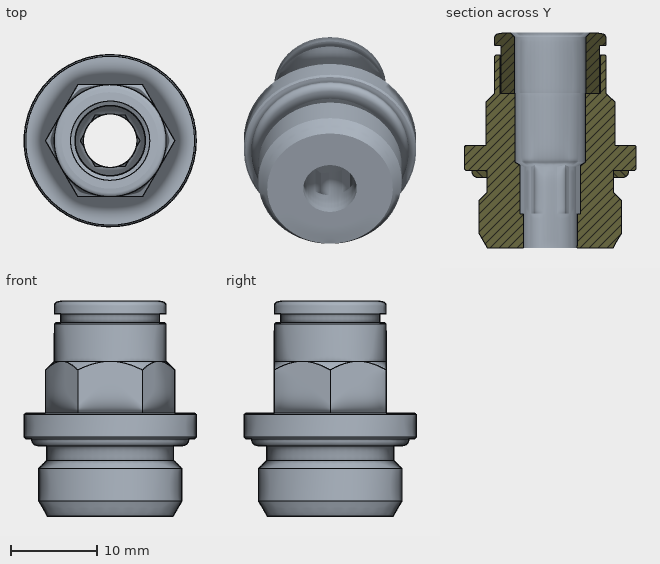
import cadquery as cq
import math


thread_radius = 16.66 / 2
neck_radius = 14.75 / 2
neck_chamfer = thread_radius - neck_radius
thread_end_height = 1.8
thread_end_angle = 30.0
thread_end_radius = thread_radius - thread_end_height * math.tan(math.radians(thread_end_angle))
neck_bottom = 6.5
flange_radius = 10.0
flange_bottom = 9.0
flange_top = 12.0
flange_chamfer = 0.2
hex_across_flats = 13.0
hex_top = 18.0
barrel_radius = hex_across_flats / 2
barrel_top = 22.5
barrel_chamfer = 0.2

through_radius = 6.2 / 2
socket_across_flats = 6.0
socket_bottom = 4.0
tube_radius = 8.1 / 2
tube_stop = 10.0
tube_stop_slope = 30.0
stem_bore_radius = 11.6 / 2
stem_seat = 18.0

seal_radius = 9.13
seal_height = 0.8
seal_rounding = 0.75

stem_radius = 11.5 / 2
sleeve_bore_radius = 8.2 / 2
sleeve_bore_chamfer = 0.5
head_radius = barrel_radius
head_bottom = 23.5
head_top = 25.0
head_flat_radius = 5.6
head_slope = 10.0
head_rounding = 0.5


def revolve_about_z(profile):
    """Turn a closed profile of (radius, height) points around the Z axis."""
    return profile.close().revolve(360, (0, 0, 0), (0, 1, 0))


def hex_prism(across_flats, bottom, top):
    """Upright hexagonal prism with its corners on the X axis."""
    across_corners = across_flats / math.cos(math.radians(30))
    return cq.Workplane("XY").workplane(offset=bottom).polygon(6, across_corners).extrude(top - bottom)


def cylinder(radius, bottom, top):
    return cq.Workplane("XY").workplane(offset=bottom).circle(radius).extrude(top - bottom)


def wrench_hex():
    """Hexagon whose upper corners are turned off by a 45 degree cone."""
    overlap = flange_chamfer
    bottom = flange_top - overlap
    cone = revolve_about_z(
        cq.Workplane("XZ")
        .moveTo(0, bottom)
        .lineTo(barrel_radius + hex_top - bottom, bottom)
        .lineTo(barrel_radius, hex_top)
        .lineTo(0, hex_top)
    )
    return hex_prism(hex_across_flats, bottom, hex_top).intersect(cone)


def housing_outside():
    turned = revolve_about_z(
        cq.Workplane("XZ")
        .moveTo(0, 0)
        .lineTo(thread_end_radius, 0)
        .lineTo(thread_radius, thread_end_height)
        .lineTo(thread_radius, neck_bottom - neck_chamfer)
        .lineTo(neck_radius, neck_bottom)
        .lineTo(neck_radius, flange_bottom)
        .lineTo(flange_radius - flange_chamfer, flange_bottom)
        .lineTo(flange_radius, flange_bottom + flange_chamfer)
        .lineTo(flange_radius, flange_top - flange_chamfer)
        .lineTo(flange_radius - flange_chamfer, flange_top)
        .lineTo(barrel_radius, flange_top)
        .lineTo(barrel_radius, barrel_top - barrel_chamfer)
        .lineTo(barrel_radius - barrel_chamfer, barrel_top)
        .lineTo(0, barrel_top)
    )
    return turned.union(wrench_hex())


def tube_bore():
    """Tube hole that ends in a shallow cone, as left by a drill point."""
    cone_depth = tube_radius * math.tan(math.radians(tube_stop_slope))
    return revolve_about_z(
        cq.Workplane("XZ")
        .moveTo(0, tube_stop - cone_depth)
        .lineTo(tube_radius, tube_stop)
        .lineTo(tube_radius, barrel_top)
        .lineTo(0, barrel_top)
    )


def make_housing():
    return (
        housing_outside()
        .cut(cylinder(through_radius, 0, barrel_top))
        .cut(hex_prism(socket_across_flats, socket_bottom, tube_stop))
        .cut(tube_bore())
        .cut(cylinder(stem_bore_radius, stem_seat, barrel_top))
    )


def make_seal():
    """Ring around the neck, against the flange, with a rounded lower rim."""
    return (
        cylinder(seal_radius, flange_bottom - seal_height, flange_bottom)
        .faces("<Z")
        .edges()
        .fillet(seal_rounding)
        .cut(cylinder(neck_radius, flange_bottom - seal_height, flange_bottom))
    )


def make_sleeve():
    """Bored stem, loose in the housing, under a head whose rim arc runs into a gentle cone."""
    slope = math.radians(head_slope)
    rim_end_angle = math.pi / 2 - slope
    rim_centre_radius = head_radius - head_rounding
    cone_radius = rim_centre_radius + head_rounding * math.cos(rim_end_angle)
    cone_bottom = head_top - (cone_radius - head_flat_radius) * math.tan(slope)
    rim_centre_z = cone_bottom - head_rounding * math.sin(rim_end_angle)
    rim_middle = (
        rim_centre_radius + head_rounding * math.cos(rim_end_angle / 2),
        rim_centre_z + head_rounding * math.sin(rim_end_angle / 2),
    )
    return revolve_about_z(
        cq.Workplane("XZ")
        .moveTo(sleeve_bore_radius, stem_seat)
        .lineTo(stem_radius, stem_seat)
        .lineTo(stem_radius, head_bottom)
        .lineTo(head_radius, head_bottom)
        .lineTo(head_radius, rim_centre_z)
        .threePointArc(rim_middle, (cone_radius, cone_bottom))
        .lineTo(head_flat_radius, head_top)
        .lineTo(sleeve_bore_radius + sleeve_bore_chamfer, head_top)
        .lineTo(sleeve_bore_radius, head_top - sleeve_bore_chamfer)
    )


housing = make_housing().solids()
seal = make_seal().solids()
sleeve = make_sleeve().solids()

result = cq.Compound.makeCompound([housing.val(), seal.val(), sleeve.val()])